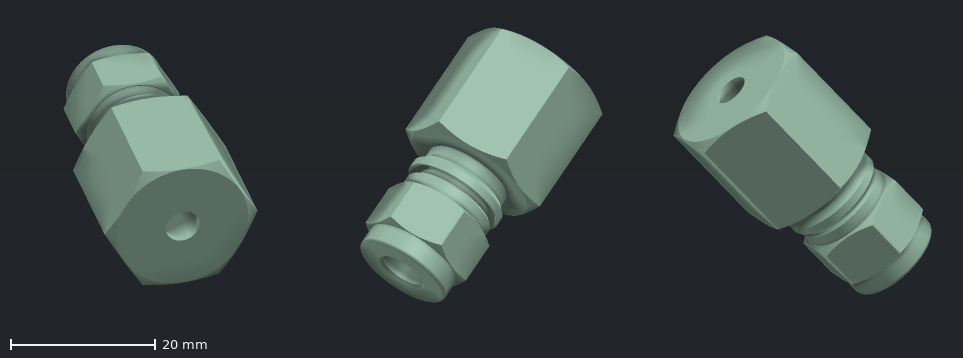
import cadquery as cq
import math

length = 35.95
nut_start = 3.05
nut_end = 10.55
collar_end = 12.65
flange_start = 13.5
neck_step = 13.9
flange_end = 14.75
cone_end = 15.75
body_start = 17.75

nose_diameter = 13.9
collar_diameter = 13.6
neck_diameter = 11.1
flange_diameter = 14.6
land_diameter = 12.6

recess_mouth_diameter = 14.1
recess_depth = 1.98
inner_neck_diameter = 10.1

nose_fillet = 0.5
collar_chamfer = 0.35
land_chamfer = 0.32

nut_flats = 14.3
nut_corner_diameter = 16.42
nut_front_diameter = 14.1
nut_back_diameter = 13.8
body_flats = 19.05
body_corner_diameter = body_flats / math.cos(math.radians(30))
body_face_diameter = 18.9
hex_chamfer_angle = 30.0

bore_diameter = 4.8
tube_socket_diameter = 6.55
tube_socket_depth = 9.0
mouth_diameter = 7.35
mouth_chamfer_depth = 0.43


def cylinder(diameter, start, end):
    """Round bar along X."""
    return cq.Workplane("YZ", origin=(start, 0, 0)).circle(diameter / 2).extrude(end - start)


def revolve_profile(points):
    """Turn a closed (x, radius) outline about the X axis."""
    return cq.Workplane("XY").polyline(points).close().revolve(360, (0, 0, 0), (1, 0, 0))


def chamfered_hexagon(flats, corner_diameter, front_diameter, back_diameter, start, end):
    """Hexagonal bar with flats facing +Z and -Z and corners turned to a cone at both ends."""
    across_corners = flats / math.cos(math.radians(30))
    bar = cq.Workplane("YZ", origin=(start, 0, 0)).polygon(6, across_corners).extrude(end - start)
    slope = math.tan(math.radians(hex_chamfer_angle))
    corner_radius = corner_diameter / 2
    front_radius = front_diameter / 2
    back_radius = back_diameter / 2
    envelope = revolve_profile([
        (start, 0),
        (start, front_radius),
        (start + (corner_radius - front_radius) * slope, corner_radius),
        (end - (corner_radius - back_radius) * slope, corner_radius),
        (end, back_radius),
        (end, 0),
    ])
    return bar.intersect(envelope)


nose = cylinder(nose_diameter, 0, nut_start).faces("<X").edges().fillet(nose_fillet)
nut = chamfered_hexagon(
    nut_flats, nut_corner_diameter, nut_front_diameter, nut_back_diameter, nut_start, nut_end
)
collar = cylinder(collar_diameter, nut_end, collar_end).faces(">X").edges().chamfer(collar_chamfer)

shank = revolve_profile([
    (collar_end, 0),
    (collar_end, neck_diameter / 2),
    (neck_step, neck_diameter / 2),
    (neck_step, inner_neck_diameter / 2),
    (flange_start + recess_depth, inner_neck_diameter / 2),
    (flange_start, recess_mouth_diameter / 2),
    (flange_start, flange_diameter / 2),
    (flange_end, flange_diameter / 2),
    (cone_end, land_diameter / 2),
    (body_start - land_chamfer, land_diameter / 2),
    (body_start, land_diameter / 2 - land_chamfer),
    (body_start, 0),
])

body = chamfered_hexagon(
    body_flats, body_corner_diameter, body_face_diameter, body_face_diameter, body_start, length
)

bore = cylinder(bore_diameter, 0, length)
tube_socket = cylinder(tube_socket_diameter, 0, tube_socket_depth)
mouth = revolve_profile([
    (0, 0),
    (0, mouth_diameter / 2),
    (mouth_chamfer_depth, tube_socket_diameter / 2),
    (mouth_chamfer_depth, 0),
])

result = nose.union(nut).union(collar).union(shank).union(body)
result = result.cut(bore).cut(tube_socket).cut(mouth)